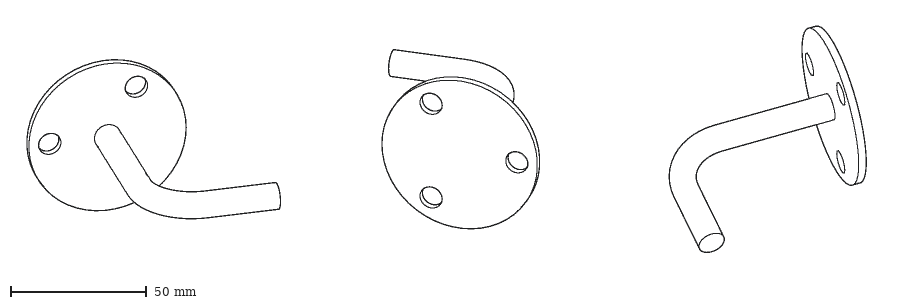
import cadquery as cq

plate_diameter = 60.0
plate_thickness = 3.0

hole_count = 3
hole_diameter = 8.5
hole_circle_radius = 22.0
first_hole_angle = 180

rod_diameter = 10.0
bend_radius = 20.0
overall_length = 72.0
overall_width = 77.0

rod_radius = rod_diameter / 2
leg_x = overall_length - rod_radius
tip_y = overall_width - plate_diameter / 2
bend_start_x = leg_x - bend_radius


def make_plate():
    plate = cq.Workplane("YZ").circle(plate_diameter / 2).extrude(plate_thickness)
    holes = (
        cq.Workplane("YZ")
        .polarArray(hole_circle_radius, first_hole_angle, 360, hole_count)
        .circle(hole_diameter / 2)
        .extrude(plate_thickness)
    )
    return plate.cut(holes)


def make_rod():
    path = (
        cq.Workplane("XY")
        .moveTo(plate_thickness, 0)
        .lineTo(bend_start_x, 0)
        .tangentArcPoint((leg_x, bend_radius), relative=False)
        .lineTo(leg_x, tip_y)
    )
    section = cq.Workplane("YZ", origin=(plate_thickness, 0, 0)).circle(rod_radius)
    return section.sweep(path)


result = make_plate().union(make_rod())